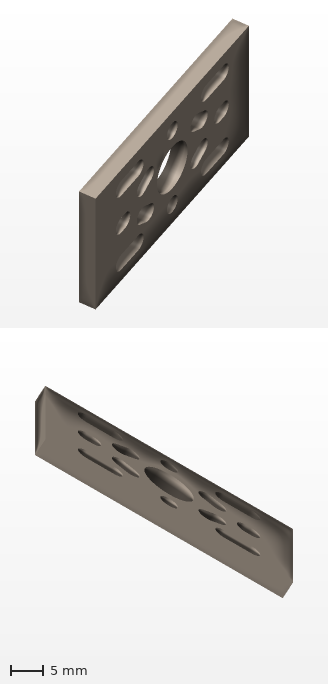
import cadquery as cq
import math

thickness = 3.0
length = 45.0
height = 24.0

bore_diameter = 9.0
slot_width = 3.2
row_offset = 8.0
outer_end = 15.0
corner_inner_end = 10.0
side_inner_end = 13.9

slant_inner_y, slant_inner_z = 6.95, 4.0
slant_outer_y, slant_outer_z = 8.8, 3.0


def round_cutter(y, z, diameter):
    """Cylinder along X, running through the plate."""
    return cq.Workplane("YZ").center(y, z).circle(diameter / 2).extrude(thickness, both=True)


def slot_cutter(start, end):
    """Round-ended slot along X between two end centres given as (Y, Z)."""
    run_y = end[0] - start[0]
    run_z = end[1] - start[1]
    length_over_ends = math.hypot(run_y, run_z) + slot_width
    angle = math.degrees(math.atan2(run_z, run_y))
    middle_y = (start[0] + end[0]) / 2
    middle_z = (start[1] + end[1]) / 2
    return (
        cq.Workplane("YZ")
        .center(middle_y, middle_z)
        .slot2D(length_over_ends, slot_width, angle)
        .extrude(thickness, both=True)
    )


result = cq.Workplane("XY").box(thickness, length, height)
result = result.cut(round_cutter(0, 0, bore_diameter))

for side_z in (-1, 1):
    row_z = side_z * row_offset
    result = result.cut(round_cutter(0, row_z, slot_width))
    for side_y in (-1, 1):
        result = result.cut(slot_cutter((side_y * corner_inner_end, row_z), (side_y * outer_end, row_z)))
        result = result.cut(
            slot_cutter(
                (side_y * slant_inner_y, side_z * slant_inner_z),
                (side_y * slant_outer_y, side_z * slant_outer_z),
            )
        )

for side_y in (-1, 1):
    result = result.cut(slot_cutter((side_y * side_inner_end, 0), (side_y * outer_end, 0)))